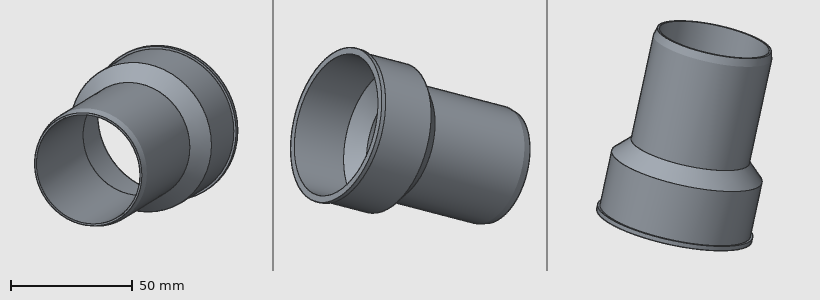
import cadquery as cq
import math

length = 81.0
wall = 1.8
flange_radius = 65.6 / 2
flange_thickness = 1.95
socket_radius = 63.6 / 2
socket_length = 25.6
spigot_radius = 50.0 / 2
taper_angle = math.radians(45)
tip_length = 3.4
tip_angle = math.radians(15)

taper_length = (socket_radius - spigot_radius) / math.tan(taper_angle)
taper_end = socket_length + taper_length
tip_radius = spigot_radius - tip_length * math.tan(tip_angle)

socket_bore_radius = socket_radius - wall
spigot_bore_radius = spigot_radius - wall
inner_shift = wall * math.tan(taper_angle / 2)

section = [
    (flange_radius, 0),
    (flange_radius, -flange_thickness),
    (socket_radius, -flange_thickness),
    (socket_radius, -socket_length),
    (spigot_radius, -taper_end),
    (spigot_radius, tip_length - length),
    (tip_radius, -length),
    (spigot_bore_radius, -length),
    (spigot_bore_radius, inner_shift - taper_end),
    (socket_bore_radius, inner_shift - socket_length),
    (socket_bore_radius, 0),
]

result = cq.Workplane("XY").polyline(section).close().revolve(360, (0, 0, 0), (0, 1, 0))